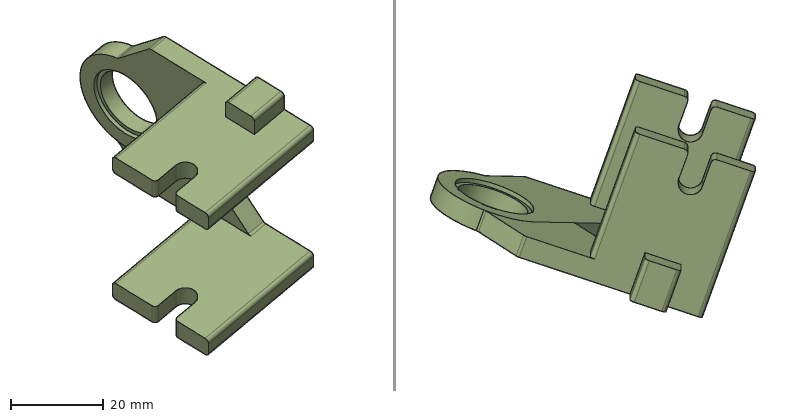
import cadquery as cq
import math


bore_diameter = 16.05
counterbore_diameter = 18.05
counterbore_depth = 1.0
eye_wall = 5.0
eye_radius = bore_diameter / 2 + eye_wall

arm_thickness = 5.0
arm_height = 22.0
outer_edge_offset = 15.0
edge_fillet = 1.0

plate_thickness = 5.0
plate_depth = 35.0
plate_left = 22.0
plate_right = 49.5
plate_width = plate_right - plate_left
plate_inner_height = arm_height - plate_thickness

slot_x = 37.0
slot_width = 5.4
slot_depth = 9.5
slot_radius = slot_width / 2
slot_mouth_width = slot_width + 2 * edge_fillet

peg_width = 8.3
peg_height = 5.0
peg_depth = 10.0

tangent_offset = eye_radius / math.sqrt(2)
inner_edge_foot = 2 * tangent_offset
inner_corner_x = inner_edge_foot + plate_inner_height
outer_corner_x = arm_height - outer_edge_offset
eye_corner_x = (math.sqrt(2 * eye_radius**2 - outer_edge_offset**2) - outer_edge_offset) / 2
eye_corner_z = eye_corner_x + outer_edge_offset


def block(left, width, bottom, height, depth):
    """A rectangular bar along Y with its four long edges rounded."""
    bar = cq.Workplane("XZ").center(left + width / 2, bottom + height / 2).rect(width, height).extrude(depth)
    return bar.edges("|Y").fillet(edge_fillet)


def make_blade():
    """The flat arm: the round eye joined to the sloped strip."""
    half_offset = outer_edge_offset / 2
    strip = (
        cq.Workplane("XZ")
        .moveTo(-half_offset, half_offset)
        .lineTo(0, 0)
        .lineTo(tangent_offset, -tangent_offset)
        .lineTo(inner_edge_foot + arm_height, arm_height)
        .lineTo(outer_corner_x, arm_height)
        .close()
        .extrude(arm_thickness)
    )
    eye = cq.Workplane("XZ").circle(eye_radius).extrude(arm_thickness)
    return strip.union(eye)


def make_slot():
    """The cutter for a round-ended slot that opens at the front edge of the plate."""
    end_y = slot_depth - slot_radius - plate_depth
    return (
        cq.Workplane("XY")
        .moveTo(slot_x - slot_radius, -plate_depth)
        .lineTo(slot_x - slot_radius, end_y)
        .threePointArc((slot_x, end_y + slot_radius), (slot_x + slot_radius, end_y))
        .lineTo(slot_x + slot_radius, -plate_depth)
        .close()
        .extrude(arm_height)
    )


def make_plate():
    """The forward plate with its slot, rounded at the slot mouth."""
    plate = block(plate_left, plate_width, plate_inner_height, plate_thickness, plate_depth)
    plate = plate.cut(make_slot())
    mouth = cq.selectors.BoxSelector(
        (slot_x - slot_mouth_width / 2, -plate_depth - edge_fillet, 0),
        (slot_x + slot_mouth_width / 2, -plate_depth + edge_fillet, arm_height),
    )
    return plate.edges("|Z").edges(mouth).fillet(edge_fillet)


def make_peg():
    """The peg, sunk through the plate so that only its outer corners stay rounded."""
    sunk_height = plate_thickness + peg_height - edge_fillet
    return block(slot_x - peg_width / 2, peg_width, arm_height + peg_height - sunk_height, sunk_height, peg_depth)


def make_eye_hole():
    """The cutter for the through hole and its front counterbore."""
    hole = cq.Workplane("XZ").circle(bore_diameter / 2).extrude(arm_thickness)
    counterbore = (
        cq.Workplane("XZ")
        .workplane(offset=arm_thickness - counterbore_depth)
        .circle(counterbore_diameter / 2)
        .extrude(counterbore_depth)
    )
    return hole.union(counterbore)


def make_arm():
    """One whole arm: blade, plate, peg and eye hole, with its corners rounded."""
    arm = make_blade().union(make_plate()).union(make_peg())
    rounded_corners = [
        (eye_corner_x, eye_corner_z),
        (outer_corner_x, arm_height),
        (inner_corner_x, plate_inner_height),
    ]
    for corner_x, corner_z in rounded_corners:
        corner = cq.selectors.NearestToPointSelector((corner_x, -arm_thickness / 2, corner_z))
        arm = arm.edges("|Y").edges(corner).fillet(edge_fillet)
    return arm.cut(make_eye_hole())


upper_arm = make_arm()
lower_arm = make_arm().mirror("XY").cut(upper_arm)

result = cq.Compound.makeCompound([upper_arm.solids().val(), lower_arm.solids().val()])